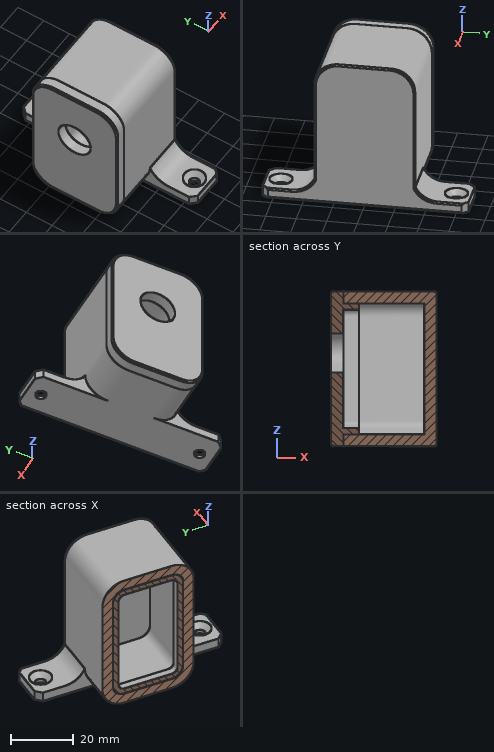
import cadquery as cq
import math

DEPTH = 34.0
WIDTH = 33.0
HEIGHT = 50.0
FOOT_SPAN = 67.4
CORNER_RADIUS = 8.0
EDGE_CHAMFER = 0.55

COVER_THICKNESS = 4.0
WINDOW_DIAMETER = 12.5
WINDOW_HEIGHT = 30.05
LIP_THICKNESS = 2.0
LIP_LENGTH = 5.1

WALL = COVER_THICKNESS
FOOT_DEPTH = 15.0
FOOT_THICKNESS = 3.5
FOOT_CORNER_CHAMFER = 2.0
BLEND_RADIUS = CORNER_RADIUS
SCREW_DIAMETER = 3.5
COUNTERSINK_DIAMETER = 7.5
COUNTERSINK_ANGLE = 90.0

BLEND_RISE = CORNER_RADIUS - FOOT_THICKNESS
BLEND_RUN = math.sqrt(BLEND_RADIUS**2 - (BLEND_RADIUS - BLEND_RISE) ** 2)
BLEND_START_Y = WIDTH / 2 + BLEND_RUN
SCREW_Y = (BLEND_START_Y + FOOT_SPAN / 2) / 2
SCREW_X = DEPTH - FOOT_DEPTH / 2


def rounded_block(x_start, x_end, inset):
    """Block with rounded X-direction edges, its outline inset from the outer outline."""
    return (
        cq.Workplane("YZ", origin=(x_start, 0, HEIGHT / 2))
        .rect(WIDTH - 2 * inset, HEIGHT - 2 * inset)
        .extrude(x_end - x_start)
        .edges("|X")
        .fillet(CORNER_RADIUS - inset)
    )


def mounting_feet():
    """Strip across the bottom with a concave blend rising to each side wall."""
    half_span = FOOT_SPAN / 2
    half_width = WIDTH / 2
    half_sweep = math.asin(BLEND_RUN / BLEND_RADIUS) / 2
    mid_y = BLEND_START_Y - BLEND_RADIUS * math.sin(half_sweep)
    mid_z = FOOT_THICKNESS + BLEND_RADIUS * (1 - math.cos(half_sweep))
    return (
        cq.Workplane("YZ", origin=(DEPTH - FOOT_DEPTH, 0, 0))
        .moveTo(-half_span, 0)
        .lineTo(half_span, 0)
        .lineTo(half_span, FOOT_THICKNESS)
        .lineTo(BLEND_START_Y, FOOT_THICKNESS)
        .threePointArc((mid_y, mid_z), (half_width, CORNER_RADIUS))
        .lineTo(-half_width, CORNER_RADIUS)
        .threePointArc((-mid_y, mid_z), (-BLEND_START_Y, FOOT_THICKNESS))
        .lineTo(-half_span, FOOT_THICKNESS)
        .close()
        .extrude(FOOT_DEPTH)
    )


def foot_corner_cutters():
    """Material outside the chamfered vertical corners of the feet."""
    square_strip = (
        cq.Workplane("XY", origin=(SCREW_X, 0, 0))
        .rect(FOOT_DEPTH, FOOT_SPAN)
        .extrude(FOOT_THICKNESS)
    )
    trimmed_strip = square_strip.edges("|Z").chamfer(FOOT_CORNER_CHAMFER)
    return square_strip.cut(trimmed_strip)


def make_housing():
    """Open-fronted box with two countersunk mounting feet."""
    box = rounded_block(COVER_THICKNESS, DEPTH, 0).faces(">X").edges().chamfer(EDGE_CHAMFER)
    feet = mounting_feet().faces(">X").edges("not >Z").chamfer(EDGE_CHAMFER)
    cavity = rounded_block(COVER_THICKNESS, DEPTH - WALL, WALL)
    body = box.union(feet).cut(foot_corner_cutters()).cut(cavity)
    return (
        body.copyWorkplane(cq.Workplane("XY", origin=(0, 0, FOOT_THICKNESS)))
        .pushPoints([(SCREW_X, -SCREW_Y), (SCREW_X, SCREW_Y)])
        .cskHole(SCREW_DIAMETER, COUNTERSINK_DIAMETER, COUNTERSINK_ANGLE, FOOT_THICKNESS)
    )


def make_cover():
    """Front plate with a round window and a lip that plugs into the housing."""
    plate = rounded_block(0, COVER_THICKNESS, 0).faces("<X").edges().chamfer(EDGE_CHAMFER)
    lip_end = COVER_THICKNESS + LIP_LENGTH
    lip = rounded_block(COVER_THICKNESS, lip_end, WALL)
    lip = lip.cut(rounded_block(COVER_THICKNESS, lip_end, WALL + LIP_THICKNESS))
    window = (
        cq.Workplane("YZ", origin=(0, 0, WINDOW_HEIGHT))
        .circle(WINDOW_DIAMETER / 2)
        .extrude(COVER_THICKNESS)
    )
    return plate.union(lip).cut(window)


housing = make_housing()
cover = make_cover()
result = cq.Compound.makeCompound([housing.solids().val(), cover.solids().val()])